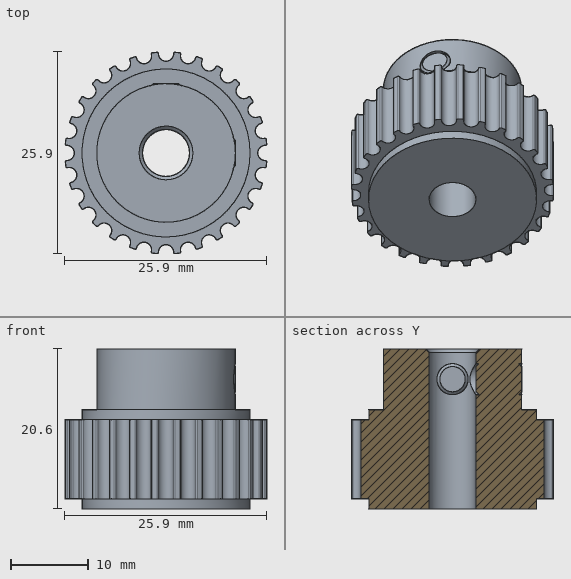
import cadquery as cq


tooth_count = 28
tooth_width = 10.2
tip_diameter = 26.01
groove_depth = 1.2
groove_radius = 0.97
tip_round = 0.18

shoulder_diameter = 21.6
shoulder_height = 1.3

hub_diameter = 17.82
total_height = 20.6
bore_diameter = 6.0
bore_chamfer = 0.45

screw_diameter = 4.0
screw_chamfer = 0.375
screw_directions = [(1, 0, 0), (0, 1, 0)]

tip_radius = tip_diameter / 2
hub_radius = hub_diameter / 2
bore_radius = bore_diameter / 2
teeth_top = shoulder_height + tooth_width
hub_bottom = teeth_top + shoulder_height
screw_height = (hub_bottom + total_height) / 2
screw_length = hub_radius - bore_radius


def disc(diameter, bottom, top):
    """Solid cylinder about Z between two heights."""
    return cq.Workplane("XY", origin=(0, 0, bottom)).circle(diameter / 2).extrude(top - bottom)


def belt_groove(angle):
    """Round-bottomed, parallel-sided belt groove, open outward at the given angle about Z."""
    arc_centre = tip_radius - groove_depth + groove_radius
    open_end = tip_radius + groove_radius
    return (
        cq.Workplane("XY", origin=(0, 0, shoulder_height))
        .moveTo(open_end, -groove_radius)
        .lineTo(arc_centre, -groove_radius)
        .threePointArc((arc_centre - groove_radius, 0), (arc_centre, groove_radius))
        .lineTo(open_end, groove_radius)
        .close()
        .extrude(tooth_width)
        .rotate((0, 0, 0), (0, 0, 1), angle)
    )


def is_tooth_corner(edge):
    """True for an edge that lies on the tip cylinder."""
    centre = edge.Center()
    tolerance = 0.001
    return abs((centre.x**2 + centre.y**2) ** 0.5 - tip_radius) < tolerance


def toothed_ring():
    """Ring of belt teeth with rounded tip corners; one groove is centred on +X."""
    ring = disc(tip_diameter, shoulder_height, teeth_top)
    for index in range(tooth_count):
        ring = ring.cut(belt_groove(index * 360 / tooth_count))
    return ring.edges("|Z").filter(is_tooth_corner).fillet(tip_round)


def bore():
    """Through bore with a chamfered mouth at the hub end."""
    mouth = (
        cq.Workplane("XY", origin=(0, 0, total_height))
        .circle(bore_radius + bore_chamfer)
        .extrude(-bore_chamfer, taper=45)
    )
    return disc(bore_diameter, 0, total_height).union(mouth)


def radial_cylinder(direction, start, length):
    """Screw-sized cylinder pointing outward from the axis, starting at the given radius."""
    plane = cq.Plane(origin=(0, 0, screw_height), xDir=(0, 0, 1), normal=direction)
    return cq.Workplane(plane).workplane(offset=start).circle(screw_diameter / 2).extrude(length)


def fit_set_screw(body, direction):
    """Drill the hub wall and fill the hole with a set screw chamfered at both ends."""
    hole = radial_cylinder(direction, 0, hub_diameter)
    screw = radial_cylinder(direction, bore_radius, screw_length).edges("%CIRCLE").chamfer(screw_chamfer)
    return body.cut(hole).union(screw)


result = toothed_ring()
result = result.union(disc(shoulder_diameter, 0, hub_bottom))
result = result.union(disc(hub_diameter, hub_bottom, total_height))
result = result.cut(bore())
for screw_direction in screw_directions:
    result = fit_set_screw(result, screw_direction)